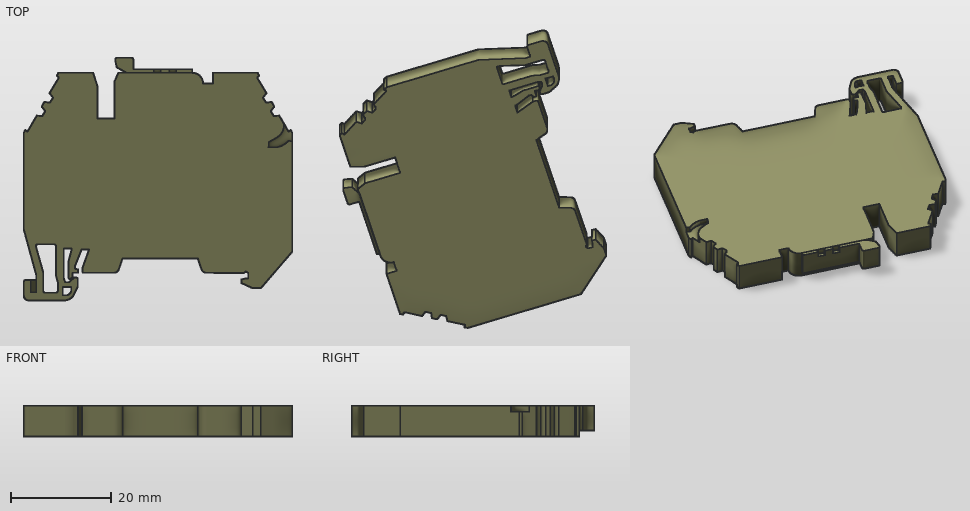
import cadquery as cq
length = 53.5
thickness = 6.2
total_height = 48.35
mid_z = thickness / 2

housing_top = 45.35
rail_y = 8.35
rail_edge_y = 5.5
side_top = 33.4
left_side_bottom = 14.2
right_side_bottom = 9.75

rail_mid_x = 27.2
rail_half_top = 7.5
rail_half_bottom = 8.45
rail_corner_radius = 1.1

slot_left = 14.7
slot_right = 18.1
slot_floor = 36.25
slot_left_mouth = (13.85, housing_top)
slot_left_throat = (slot_left, 42.7)
slot_right_throat = (slot_right, 43.65)
slot_right_mouth = (18.85, housing_top)

notch_floor = 43.25
notch_left = 35.75
notch_right = 37.65
shoulder_radius = housing_top - notch_floor

leg_x = 2.45
leg_bend_y = 5.2
foot_top = 4.1
foot_corner_radius = 1.05
foot_tip_radius = 0.45
nose_radius = 0.3
latch_gap_radius = 0.25
groove_left = 1.4
groove_floor_y = 1.65
groove_depth = mid_z
window_radius = 0.3

recess_depth = 1.25

marker_bottom_z = 1.25
strip_top = 46.05
strip_right = 33.6
tab_left = 18.1
tab_right = 21.9
tab_radius = 0.45
gap_width = 1.4
gap_starts = [25.9, 28.95]
gap_depth = 1.25

flank = [
    (0, side_top),
    (0.3, 34.0),
    (0.75, 33.65),
    (2.6, 36.85),
    (3.7, 36.75),
    (4.3, 37.7),
    (3.6, 38.65),
    (4.1, 39.6),
    (5.2, 39.45),
    (5.85, 40.4),
    (5.15, 41.3),
    (7.0, 44.4),
    (6.6, 44.8),
    (6.9, housing_top),
]

foot_arc_start = (8.2, 0)
foot_arc_mid = (9.1, 0.25)
foot_arc_end = (9.85, 0.85)
nose_tip = (10.8, 4.6)
latch = [
    (10.8, 2.8),
    nose_tip,
    (10.05, 4.6),
    (9.05, 3.7),
    (8.3, 3.7),
    (8.0, 4.4),
    (8.0, 10.3),
    (9.6, 10.3),
    (8.9, 7.7),
    (8.9, 4.55),
    (9.15, 4.2),
    (9.75, 4.6),
    (9.75, rail_edge_y),
    (10.85, rail_edge_y),
    (10.85, 6.2),
    (10.25, 6.35),
    (10.25, 6.95),
    (11.55, 10.15),
    (13.0, 10.15),
    (11.7, 6.6),
    (11.7, rail_edge_y),
]

hook = [
    (43.85, 5.45),
    (44.2, 5.8),
    (44.65, 5.5),
    (44.65, 4.45),
    (44.3, 4.45),
    (43.35, 4.2),
    (43.35, 3.5),
    (45.6, 2.45),
    (47.25, 2.45),
    (length, right_side_bottom),
]


def mirrored(points):
    """The points reflected about the middle of the length."""
    return [(length - x, y) for x, y in points]


def prism(points, bottom, top):
    """A polygon in the XY plane, extruded from one Z level to another."""
    return cq.Workplane("XY", origin=(0, 0, bottom)).polyline(points).close().extrude(top - bottom)


def line_through(path, points):
    """Extends a path by straight lines through the given points."""
    for point in points:
        path = path.lineTo(*point)
    return path


def round_upright_edges(body, corners, radius, z):
    """Fillets the upright edges whose middles lie at the given corners and Z level."""
    for x, y in corners:
        body = body.edges(cq.selectors.NearestToPointSelector((x, y, z))).fillet(radius)
    return body


def make_plate():
    """The full outline of the housing, with rounded corners at the foot and the rail recess."""
    rail_recess = [
        (rail_mid_x - rail_half_bottom, rail_edge_y),
        (rail_mid_x - rail_half_top, rail_y),
        (rail_mid_x + rail_half_top, rail_y),
        (rail_mid_x + rail_half_bottom, rail_edge_y),
    ]
    top_edge = [
        (notch_right, housing_top),
        (notch_right, notch_floor),
        (notch_left, notch_floor),
    ]
    conductor_slot = [
        slot_right_mouth,
        slot_right_throat,
        (slot_right, slot_floor),
        (slot_left, slot_floor),
        slot_left_throat,
        slot_left_mouth,
    ]
    left_side = [(0, left_side_bottom), (leg_x, leg_bend_y), (leg_x, foot_top), (0, foot_top)]
    shoulder_centre_x = notch_left - shoulder_radius
    path = cq.Workplane("XY").lineTo(*foot_arc_start).threePointArc(foot_arc_mid, foot_arc_end)
    path = line_through(path, latch + rail_recess + hook + mirrored(flank) + top_edge)
    path = path.radiusArc((shoulder_centre_x, housing_top), -shoulder_radius)
    path = line_through(path, conductor_slot + flank[::-1] + left_side)
    plate = path.close().extrude(thickness)
    rail_corners = [rail_recess[0], rail_recess[-1]]
    plate = round_upright_edges(plate, rail_corners, rail_corner_radius, mid_z)
    plate = round_upright_edges(plate, [(0, 0)], foot_corner_radius, mid_z)
    plate = round_upright_edges(plate, [(0, foot_top)], foot_tip_radius, mid_z)
    plate = round_upright_edges(plate, [latch[-1]], latch_gap_radius, mid_z)
    return round_upright_edges(plate, [nose_tip], nose_radius, mid_z)


def make_leg_window():
    """The tall opening between the two legs of the foot."""
    corners = [
        (2.35, 11.2),
        (6.4, 11.2),
        (6.4, 4.9),
        (6.8, 3.6),
        (6.8, 1.6),
        (3.9, 1.6),
        (3.9, 5.65),
    ]
    window = prism(corners, 0, thickness)
    return round_upright_edges(window, corners[:2] + corners[4:6], window_radius, mid_z)


def make_nose_window():
    """The small opening with one curved corner inside the nose of the foot."""
    left, right, bottom, top = 7.8, 9.45, 1.05, 2.7
    curve_width = 0.85
    curve_height = 0.9
    curve_bulge = (9.2, 1.45)
    return (
        cq.Workplane("XY")
        .moveTo(left, bottom)
        .lineTo(right - curve_width, bottom)
        .threePointArc(curve_bulge, (right, bottom + curve_height))
        .lineTo(right, top)
        .lineTo(left, top)
        .close()
        .extrude(thickness)
    )


def make_foot_groove():
    """The groove between the foot tip and the leg, open to the top face and upwards in Y."""
    floor_z = thickness - groove_depth
    corners = [
        (groove_left, groove_floor_y),
        (leg_x, groove_floor_y),
        (leg_x, foot_top),
        (groove_left, foot_top),
    ]
    return prism(corners, floor_z, thickness)


def make_finger_recess():
    """The curved recess in the top face that runs out through the right flank."""
    upper_end = (51.75, 35.45)
    upper_mid = (51.6, 33.75)
    upper_foot = (50.6, 32.6)
    inner_top = (48.85, 31.55)
    inner_bottom = (48.75, 30.5)
    lower_foot = (50.25, 30.5)
    lower_mid = (51.6, 30.9)
    lower_end = (52.75, 31.85)
    side_lip = (length, 31.65)
    return (
        cq.Workplane("XY", origin=(0, 0, thickness - recess_depth))
        .moveTo(*upper_end)
        .threePointArc(upper_mid, upper_foot)
        .lineTo(*inner_top)
        .lineTo(*inner_bottom)
        .lineTo(*lower_foot)
        .threePointArc(lower_mid, lower_end)
        .lineTo(*side_lip)
        .lineTo(length, upper_end[1])
        .close()
        .extrude(recess_depth)
    )


def make_housing():
    """The plate with its openings, groove and recess cut out."""
    return (
        make_plate()
        .cut(make_leg_window())
        .cut(make_nose_window())
        .cut(make_foot_groove())
        .cut(make_finger_recess())
    )


def make_marker_strip():
    """The strip on the top edge, with a raised tab at its left end and two gaps in its upper face."""
    tab_heel = (18.5, 46.45)
    strip_left = 20.45
    tab_top_corners = [(tab_left, total_height), (tab_right, total_height)]
    outline = [
        (strip_left, housing_top),
        (strip_right, housing_top),
        (strip_right, strip_top),
        (tab_right, strip_top),
        tab_top_corners[1],
        tab_top_corners[0],
        tab_heel,
    ]
    strip = prism(outline, marker_bottom_z, thickness)
    middle_z = (marker_bottom_z + thickness) / 2
    strip = round_upright_edges(strip, tab_top_corners, tab_radius, middle_z)
    for start in gap_starts:
        corners = [
            (start, housing_top),
            (start + gap_width, housing_top),
            (start + gap_width, strip_top),
            (start, strip_top),
        ]
        strip = strip.cut(prism(corners, thickness - gap_depth, thickness))
    return strip


housing = make_housing()
marker_strip = make_marker_strip()

result = cq.Compound.makeCompound([housing.val(), marker_strip.val()])